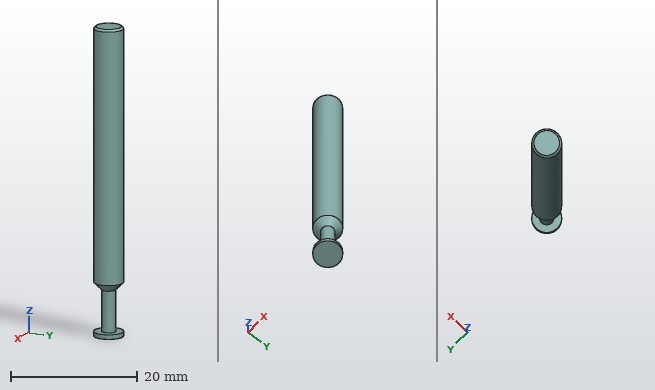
import cadquery as cq

total_length = 50.8
body_diameter = 4.8
neck_diameter = 2.3
head_diameter = 4.8
head_thickness = 0.75
body_start = 8.85
top_chamfer = 0.35

body_radius = body_diameter / 2
neck_radius = neck_diameter / 2
head_radius = head_diameter / 2

shoulder_start = body_start - (body_radius - neck_radius)

profile = (
    cq.Workplane("XZ")
    .moveTo(0, 0)
    .lineTo(head_radius, 0)
    .lineTo(head_radius, head_thickness)
    .lineTo(neck_radius, head_thickness)
    .lineTo(neck_radius, shoulder_start)
    .lineTo(body_radius, body_start)
    .lineTo(body_radius, total_length - top_chamfer)
    .lineTo(body_radius - top_chamfer, total_length)
    .lineTo(0, total_length)
    .close()
)

result = profile.revolve(360, (0, 0, 0), (0, 1, 0))